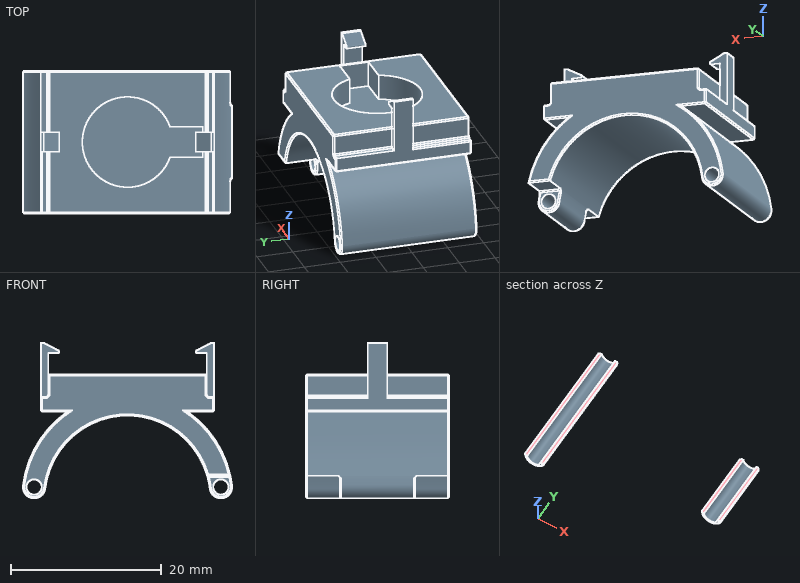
import cadquery as cq
import math

length = 27.8
width = 19.0
height = 20.65

foot_radius = 1.5
hinge_hole_diameter = 2.0
foot_x = length / 2 - foot_radius
foot_z = foot_radius
arch_middle_radius = math.hypot(foot_x, foot_z)
arch_inner_radius = arch_middle_radius - foot_radius
arch_outer_radius = arch_middle_radius + foot_radius

block_half_length = 10.5
block_top = 16.5
ledge_half_length = 11.5
ledge_bottom = 11.49
ledge_top = 13.52

edge_chamfer = 0.2

tongue_width = 10.0
tongue_top = 3.0
gap_length = 4 * foot_radius

pocket_diameter = 12.01
pocket_depth = 3.5
slot_width = 4.0
slot_end = 10.0

hook_width = 2.61
hook_flat = 0.4
hook_underside = 19.27
hook_tip = 9.1
hook_nose_top = 19.6
hook_tip_radius = 0.15


def extrude_along_y(profile, depth):
    """Extrude an XZ profile evenly to both sides of Y = 0."""
    return profile.extrude(depth / 2, both=True)


def make_arch():
    foot_angle = math.atan2(foot_z, foot_x)
    tip_x = foot_x + foot_radius * math.sin(foot_angle)
    tip_z = foot_z - foot_radius * math.cos(foot_angle)

    def joint(radius, side):
        return (side * radius * math.cos(foot_angle), radius * math.sin(foot_angle))

    profile = (
        cq.Workplane("XZ")
        .moveTo(*joint(arch_outer_radius, -1))
        .threePointArc((0, arch_outer_radius), joint(arch_outer_radius, 1))
        .threePointArc((tip_x, tip_z), joint(arch_inner_radius, 1))
        .threePointArc((0, arch_inner_radius), joint(arch_inner_radius, -1))
        .threePointArc((-tip_x, tip_z), joint(arch_outer_radius, -1))
        .close()
    )
    arch = extrude_along_y(profile, width)
    arch = arch.faces("<Y or >Y").edges().chamfer(edge_chamfer)
    for side in (-1, 1):
        arch = arch.cut(make_hinge_gap(side))
    arch = chamfer_hinge_edges(arch)
    holes = cq.Workplane("XZ").pushPoints([(-foot_x, foot_z), (foot_x, foot_z)])
    return arch.cut(extrude_along_y(holes.circle(hinge_hole_diameter / 2), width))


def make_hinge_gap(side):
    """Space beside the tongue of the +X foot, at one end of the part."""
    depth = (width - tongue_width) / 2
    gap = (
        cq.Workplane("XY")
        .center(foot_x, side * (tongue_width + depth) / 2)
        .rect(gap_length, depth)
        .extrude(tongue_top)
    )
    tongue_side = "<Y" if side > 0 else ">Y"
    return gap.faces(">Z").edges(tongue_side).chamfer(edge_chamfer)


def chamfer_hinge_edges(arch):
    """Chamfer the tongue ends and the lower edges of the end faces above the gaps."""
    for side in (-1, 1):
        tongue_end = (foot_x, side * tongue_width / 2, foot_z)
        end_face = arch.faces(cq.selectors.NearestToPointSelector(tongue_end))
        arch = end_face.edges("not |X").chamfer(edge_chamfer)
    for end in ("<Y", ">Y"):
        arch = arch.faces(end).edges("|X").chamfer(edge_chamfer)
    return arch


def make_block():
    profile = (
        cq.Workplane("XZ")
        .moveTo(-ledge_half_length, ledge_bottom)
        .lineTo(-ledge_half_length, ledge_top)
        .lineTo(-block_half_length, ledge_top)
        .lineTo(-block_half_length, block_top)
        .lineTo(block_half_length, block_top)
        .lineTo(block_half_length, ledge_top)
        .lineTo(ledge_half_length, ledge_top)
        .lineTo(ledge_half_length, ledge_bottom)
        .close()
    )
    block = extrude_along_y(profile, width)
    block = block.edges("|Y or <Y or >Y").chamfer(edge_chamfer)
    clearance = cq.Workplane("XZ").circle(arch_middle_radius)
    return block.cut(extrude_along_y(clearance, width))


def square_ledge_edge():
    """Half of the -X ledge edge, toward +Y, that is left square."""
    strip_end = width / 2 - edge_chamfer
    return (
        cq.Workplane("XY", origin=(0, 0, ledge_top - edge_chamfer))
        .moveTo(-ledge_half_length, 0)
        .rect(edge_chamfer, strip_end, centered=False)
        .extrude(edge_chamfer)
    )


def make_pocket():
    floor = cq.Workplane("XY", origin=(0, 0, block_top - pocket_depth))
    circle = floor.circle(pocket_diameter / 2).extrude(pocket_depth)
    slot = floor.center(slot_end / 2, 0).rect(slot_end, slot_width).extrude(pocket_depth)
    return circle.union(slot)


def make_hook():
    """Snap hook on the -X ledge, leaning over the block."""
    root_z = ledge_top - edge_chamfer
    profile = (
        cq.Workplane("XZ")
        .moveTo(-ledge_half_length, root_z)
        .lineTo(-ledge_half_length, height)
        .lineTo(-ledge_half_length + hook_flat, height)
        .lineTo(-hook_tip, hook_nose_top)
        .lineTo(-hook_tip, hook_underside)
        .lineTo(-block_half_length, hook_underside)
        .lineTo(-block_half_length, root_z)
        .close()
    )
    hook = extrude_along_y(profile, hook_width)
    return hook.edges("|Y and >X").fillet(hook_tip_radius)


hook = make_hook()
result = (
    make_arch()
    .union(make_block())
    .union(square_ledge_edge())
    .cut(make_pocket())
    .union(hook)
    .union(hook.mirror("YZ"))
)